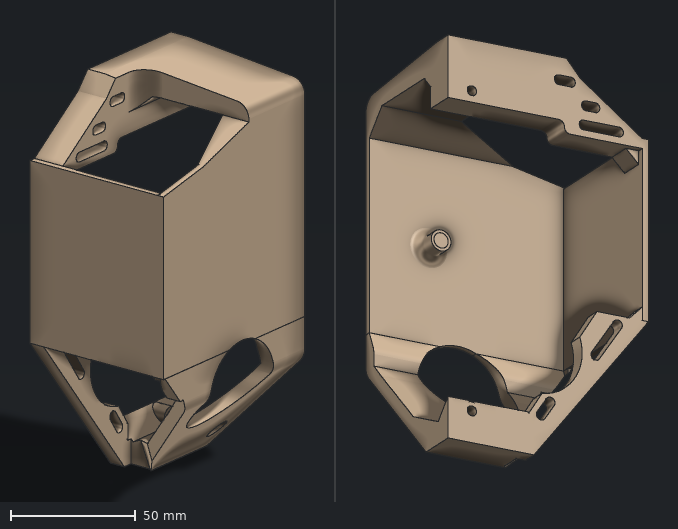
import cadquery as cq
import math


WIDTH = 68.0
DEPTH = 91.84
HEIGHT = 172.73
MARGIN = 5.0

JOINT_Z = 66.75
WALL = 3.0
INNER_X = WIDTH - WALL
INNER_DEPTH = DEPTH - WALL
UPPER_PLATE = 14.55
FRONT_TOP_Z = 144.8

ROOF_FLAT = 9.1
ROOF_SLOPE = math.radians(5.0)
ROOF_ROUND = 6.5
ROOF_UNDERSIDE_Z = 160.5
LEFT_BEVEL = 5.2
RIGHT_BEVEL = INNER_X - 54.6
ROOF_DEPTH = 36.4
NOTCH_ROUND = 9.5

PLATE_TOP_DEPTH = 54.2
PLATE_KINK = (60.6, 165.2)
WALL_KINK_DEPTH = 66.0
PLATE_BOTTOM_Z = 145.8
PLATE_LIP_Z = 140.4
LIP_DEPTH = 50.5
GUSSET = 5.8

BOSS_DEPTH = 27.3
BOSS_Z = 108.0
BOSS_DIAMETER = 9.0
BOSS_FLARE = 4.0
BOSS_LENGTH = 10.0
PIN_DIAMETER = 6.5

SCREW_DIAMETER = 4.2
SCREW_DEPTH = 10.9
UPPER_SCREW_Z = 150.7
LOWER_SCREW_Z = 13.6
SLOT_WIDTH = 4.2
UPPER_SLOTS = [
    ((50.8, 162.8), (56.1, 162.8)),
    ((63.2, 153.9), (67.3, 153.9)),
    ((62.1, 145.5), (78.1, 145.5)),
]
LOWER_SLOTS = [
    ((77.6, 62.8), (67.5, 47.9)),
    ((46.8, 24.0), (42.6, 17.7)),
]

CATCH_X = 61.2
CATCH_Z = 58.2
CATCH_ROUND = 9.0
KNEE_Z = 51.2
FLOOR_BEND = (55.5, 45.2)
CREASE_X = 28.65
CREASE_Z = KNEE_Z - (CATCH_X - CREASE_X)
LIP_TOP_Z = 17.9
VALLEY_X = 8.2
VALLEY_Z = LIP_TOP_Z - VALLEY_X
FOOT_X = 18.3
OUTER_KNEE_Z = WIDTH - FOOT_X
OUTER_ROUND = 8.0

RAIL = 7.15
FOOT_DEPTH = 39.4
RAIL_INNER_TOP = 68.1
RAIL_INNER_FOOT = 37.2
WALL_SETBACK = 1.0
FOOT_FACE_DEPTH = 35.1
FLOOR_END_Z = 54.2
FRONT_END_DEPTH = 52.0
FRONT_RISE = 0.36
FLOOR_RUN = 0.36
BLOCK_RUN = 0.86

PORT_DIAMETER = 41.5
PORT_DEPTH = 40.6
PORT_Z = 47.7
SCREW_BOSS_DIAMETER = 8.0


def box(x0, x1, depth0, depth1, z0, z1):
    """Box between two limits on each axis."""
    block = cq.Workplane("XY").box(x1 - x0, depth1 - depth0, z1 - z0, centered=False)
    return block.translate((x0, -depth1, z0))


def side_prism(x0, x1, outline):
    """Prism along X over an outline of (depth, z) points."""
    points = [(-depth, z) for depth, z in outline]
    return cq.Workplane("YZ", origin=(x0, 0, 0)).polyline(points).close().extrude(x1 - x0)


def rod(x0, x1, depth, z, diameter):
    """Cylinder along X."""
    return cq.Workplane("YZ", origin=(x0, -depth, z)).circle(diameter / 2).extrude(x1 - x0)


def slot(end_a, end_b, length):
    """Slot cutter along X from the open side, running between two end centres."""
    rise = end_b[1] - end_a[1]
    run = end_b[0] - end_a[0]
    middle_depth = (end_a[0] + end_b[0]) / 2
    middle_z = (end_a[1] + end_b[1]) / 2
    return (
        cq.Workplane("YZ", origin=(0, -middle_depth, middle_z))
        .slot2D(math.hypot(rise, run) + SLOT_WIDTH, SLOT_WIDTH, math.degrees(math.atan2(rise, -run)))
        .extrude(length)
    )


def roof_shell():
    """Block with the sloping roof, rounded towards the closed side."""
    eave_z = HEIGHT - (WIDTH - ROOF_FLAT) * math.tan(ROOF_SLOPE)
    return (
        cq.Workplane("XZ")
        .polyline([(0, JOINT_Z), (WIDTH, JOINT_Z), (WIDTH, eave_z), (ROOF_FLAT, HEIGHT), (0, HEIGHT)])
        .close()
        .extrude(DEPTH)
        .edges("|Y")
        .edges(cq.selectors.NearestToPointSelector((WIDTH, -DEPTH / 2, eave_z)))
        .fillet(ROOF_ROUND)
    )


def upper_cavity():
    """Space between the thick side plate and the closed wall, bevelled under the roof."""
    return (
        cq.Workplane("XZ")
        .polyline([
            (UPPER_PLATE, JOINT_Z),
            (INNER_X, JOINT_Z),
            (INNER_X, ROOF_UNDERSIDE_Z - RIGHT_BEVEL),
            (INNER_X - RIGHT_BEVEL, ROOF_UNDERSIDE_Z),
            (UPPER_PLATE + LEFT_BEVEL, ROOF_UNDERSIDE_Z),
            (UPPER_PLATE, ROOF_UNDERSIDE_Z - LEFT_BEVEL),
        ])
        .close()
        .extrude(INNER_DEPTH)
    )


def open_side():
    """Opening below the thick side plate; its upper edge steps down through two arcs."""
    radius = (PLATE_BOTTOM_Z - PLATE_LIP_Z) / 2
    corner = radius * math.sqrt(0.5)
    middle_z = PLATE_BOTTOM_Z - radius
    step_y = -LIP_DEPTH - radius
    return (
        cq.Workplane("YZ")
        .moveTo(0, JOINT_Z)
        .lineTo(0, PLATE_BOTTOM_Z)
        .lineTo(-LIP_DEPTH, PLATE_BOTTOM_Z)
        .threePointArc((-LIP_DEPTH - corner, middle_z + corner), (step_y, middle_z))
        .threePointArc((step_y - radius + corner, middle_z - corner), (step_y - radius, PLATE_LIP_Z))
        .lineTo(-INNER_DEPTH, PLATE_LIP_Z)
        .lineTo(-INNER_DEPTH, JOINT_Z)
        .close()
        .extrude(UPPER_PLATE)
    )


def roof_notch():
    """Front opening in the roof with a rounded inner corner."""
    return (
        box(UPPER_PLATE, INNER_X - RIGHT_BEVEL, ROOF_DEPTH, DEPTH, FRONT_TOP_Z, HEIGHT)
        .edges("|Z and <X and >Y")
        .fillet(NOTCH_ROUND)
    )


def plate_front_trim():
    """Material to remove in front of the thick side plate's slanted edge."""
    return side_prism(0, UPPER_PLATE, [
        (PLATE_TOP_DEPTH, HEIGHT),
        PLATE_KINK,
        (INNER_DEPTH, FRONT_TOP_Z),
        (DEPTH, FRONT_TOP_Z),
        (DEPTH, HEIGHT),
    ])


def wall_front_trim(x0, x1, kink_foot):
    """Material to remove above the closed wall's edge; it may drop straight down at the kink."""
    return side_prism(x0, x1, [
        (ROOF_DEPTH, ROOF_UNDERSIDE_Z),
        (WALL_KINK_DEPTH, ROOF_UNDERSIDE_Z - RIGHT_BEVEL),
        *kink_foot,
        (DEPTH, FRONT_TOP_Z),
        (DEPTH, HEIGHT),
        (ROOF_DEPTH, HEIGHT),
    ])


def wall_boss():
    """Boss flared into the closed wall by a concave round."""
    radius = BOSS_DIAMETER / 2
    base = radius + BOSS_FLARE
    corner = BOSS_FLARE * (1 - math.sqrt(0.5))
    return (
        cq.Workplane("XY")
        .moveTo(0, 0)
        .lineTo(base, 0)
        .threePointArc((radius + corner, corner), (radius, BOSS_FLARE))
        .lineTo(radius, BOSS_LENGTH)
        .lineTo(0, BOSS_LENGTH)
        .close()
        .revolve(360, (0, 0), (0, 1))
        .rotate((0, 0, 0), (0, 0, 1), 90)
        .translate((INNER_X, -BOSS_DEPTH, BOSS_Z))
    )


def build_upper_housing():
    body = roof_shell().cut(upper_cavity()).cut(open_side())
    body = body.cut(roof_notch()).cut(plate_front_trim())
    body = body.cut(wall_front_trim(INNER_X - RIGHT_BEVEL, INNER_X, [(WALL_KINK_DEPTH, FRONT_TOP_Z)]))
    body = body.cut(wall_front_trim(INNER_X, WIDTH, []))
    corner_gusset = side_prism(WALL, UPPER_PLATE, [
        (INNER_DEPTH, PLATE_LIP_Z),
        (INNER_DEPTH, PLATE_LIP_Z - GUSSET),
        (INNER_DEPTH - GUSSET, PLATE_LIP_Z),
    ])
    body = body.union(corner_gusset).union(wall_boss())
    body = body.cut(rod(INNER_X - BOSS_LENGTH, INNER_X, BOSS_DEPTH, BOSS_Z, PIN_DIAMETER))
    body = body.cut(rod(0, UPPER_PLATE, SCREW_DEPTH, UPPER_SCREW_Z, SCREW_DIAMETER))
    body = body.cut(rod(0, WIDTH, PORT_DEPTH, PORT_Z, PORT_DIAMETER))
    for end_a, end_b in UPPER_SLOTS:
        body = body.cut(slot(end_a, end_b, UPPER_PLATE))
    return body


def floor_section():
    """Closed wall, slanted floor and foot of the lower housing, as deep as the part."""
    section = (
        cq.Workplane("XZ")
        .polyline([
            (0, 0),
            (FOOT_X, 0),
            (WIDTH, OUTER_KNEE_Z),
            (WIDTH, JOINT_Z),
            (INNER_X, JOINT_Z),
            (CATCH_X, CATCH_Z),
            (CATCH_X, KNEE_Z),
            FLOOR_BEND,
            (CREASE_X, CREASE_Z),
            (VALLEY_X, VALLEY_Z),
            (0, LIP_TOP_Z),
        ])
        .close()
        .extrude(DEPTH)
    )
    for x, z, radius in [(WIDTH, OUTER_KNEE_Z, OUTER_ROUND), (CATCH_X, CATCH_Z, CATCH_ROUND)]:
        nearest = cq.selectors.NearestToPointSelector((x, -DEPTH / 2, z))
        section = section.edges("|Y").edges(nearest).fillet(radius)
    return section.union(box(CATCH_X, WIDTH, INNER_DEPTH, DEPTH, CATCH_Z, JOINT_Z))


def in_front_of(run, rise):
    """Everything in front of a plane through the floor crease's front end.

    The plane gains depth by `run` per unit of X and by `rise` per unit of Z.
    """
    plane = cq.Plane(
        origin=(CREASE_X, -FRONT_END_DEPTH, CREASE_Z),
        xDir=(rise, 0, -run),
        normal=(-run, -1, -rise),
    )
    reach = 2 * (WIDTH + DEPTH + HEIGHT)
    return cq.Workplane(plane).rect(reach, reach).extrude(reach)


def wall_front_outline():
    """Region in front of the closed wall, whose end runs parallel to the rail just behind it."""
    return [
        (FOOT_DEPTH - WALL_SETBACK, 0),
        (DEPTH - WALL_SETBACK, JOINT_Z),
        (DEPTH + MARGIN, JOINT_Z),
        (DEPTH + MARGIN, 0),
    ]


def floor_and_wall():
    """Lower section with the foot, floor and wall each ending at its own slanted front."""
    section = floor_section()
    lip = section.intersect(box(0, RAIL, 0, RAIL_INNER_FOOT, 0, JOINT_Z))
    foot = section.intersect(box(0, CREASE_X, 0, FOOT_FACE_DEPTH, 0, JOINT_Z))
    block = section.intersect(box(0, CREASE_X, 0, DEPTH, 0, JOINT_Z))
    floor = section.intersect(box(CREASE_X, WIDTH, 0, DEPTH, 0, FLOOR_END_Z))
    wall = section.intersect(box(CREASE_X, WIDTH, 0, DEPTH, FLOOR_END_Z, JOINT_Z))
    body = lip.union(foot).union(block.cut(in_front_of(BLOCK_RUN, FRONT_RISE)))
    body = body.union(floor.cut(in_front_of(FLOOR_RUN, FRONT_RISE)))
    return body.union(wall.cut(side_prism(0, WIDTH, wall_front_outline())))


def side_rail():
    """Slanted rail on the open side, with the gusset that rises behind the front wall."""
    rail = side_prism(0, RAIL, [
        (RAIL_INNER_FOOT, 0),
        (FOOT_DEPTH, 0),
        (DEPTH, JOINT_Z),
        (RAIL_INNER_TOP, JOINT_Z),
        (RAIL_INNER_FOOT, LIP_TOP_Z),
    ])
    gusset = side_prism(0, RAIL, [
        (INNER_DEPTH, JOINT_Z),
        (INNER_DEPTH, JOINT_Z + GUSSET),
        (INNER_DEPTH - GUSSET, JOINT_Z),
    ])
    return rail.union(gusset)


def build_lower_housing():
    body = floor_and_wall().union(side_rail())
    body = body.cut(rod(VALLEY_X, WIDTH, SCREW_DEPTH, LOWER_SCREW_Z, SCREW_BOSS_DIAMETER))
    body = body.union(rod(0, VALLEY_X, SCREW_DEPTH, LOWER_SCREW_Z, SCREW_BOSS_DIAMETER))
    body = body.cut(rod(0, VALLEY_X, SCREW_DEPTH, LOWER_SCREW_Z, SCREW_DIAMETER))
    body = body.cut(rod(0, WIDTH, PORT_DEPTH, PORT_Z, PORT_DIAMETER))
    for end_a, end_b in LOWER_SLOTS:
        body = body.cut(slot(end_a, end_b, RAIL))
    return body


def build_pin():
    """Pin seated flush in the wall boss."""
    return rod(INNER_X - BOSS_LENGTH, INNER_X, BOSS_DEPTH, BOSS_Z, PIN_DIAMETER)


upper_housing = build_upper_housing()
lower_housing = build_lower_housing()
pin = build_pin()
bodies = [upper_housing, lower_housing, pin]
result = cq.Compound.makeCompound([body.solids().val() for body in bodies])